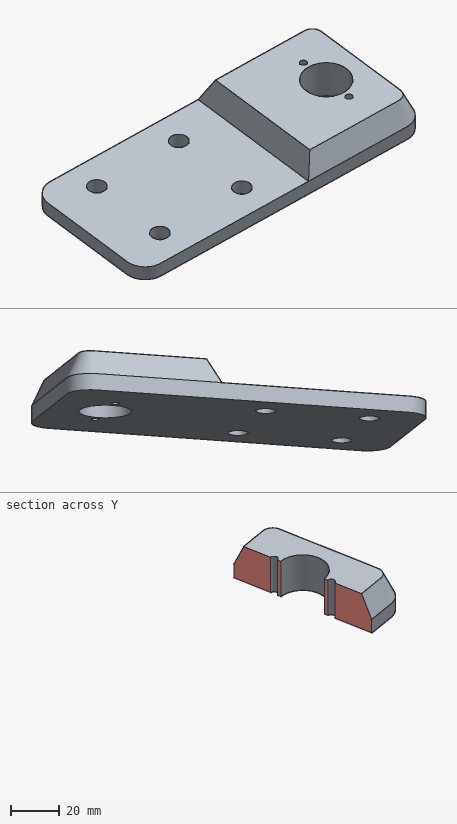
import cadquery as cq
import math

length = 155.0
width = 70.0
height = 18.0
plate_thickness = 7.0
corner_radius = 10.0

block_length = 64.0
block_height = height - plate_thickness
wall_inset = 5.1
wall_angle = math.degrees(math.atan2(wall_inset, block_height))

bore_diameter = 22.0
bore_from_end = 24.0
side_hole_diameter = 3.3
side_hole_spacing = 29.0

mount_diameter = 8.5
mount_spacing_x = 40.0
mount_spacing_y = 45.0
mount_from_end = 22.5

bore_y = length / 2 - bore_from_end
mount_center_y = -length / 2 + mount_from_end + mount_spacing_y / 2


def make_plate():
    plate = cq.Workplane("XY").rect(width, length).extrude(plate_thickness)
    return plate.edges("|Z").fillet(corner_radius)


def make_block():
    """Block whose walls all lean inward; only its +Y corners are rounded."""
    half_width = width / 2
    end_y = length / 2
    start_y = end_y - block_length
    arc_offset = corner_radius * (1 - math.sqrt(0.5))
    outline = (
        cq.Workplane("XY")
        .workplane(offset=plate_thickness)
        .moveTo(-half_width, start_y)
        .lineTo(half_width, start_y)
        .lineTo(half_width, end_y - corner_radius)
        .threePointArc(
            (half_width - arc_offset, end_y - arc_offset),
            (half_width - corner_radius, end_y),
        )
        .lineTo(-half_width + corner_radius, end_y)
        .threePointArc(
            (-half_width + arc_offset, end_y - arc_offset),
            (-half_width, end_y - corner_radius),
        )
        .close()
    )
    return outline.extrude(block_height, taper=wall_angle)


def make_pins(points, diameter):
    """Full-height cylinders used to cut through holes."""
    return cq.Workplane("XY").pushPoints(points).circle(diameter / 2).extrude(height)


side_hole_points = [(side * side_hole_spacing / 2, bore_y) for side in (-1, 1)]
mount_points = [
    (side_x * mount_spacing_x / 2, mount_center_y + side_y * mount_spacing_y / 2)
    for side_x in (-1, 1)
    for side_y in (-1, 1)
]

result = make_plate().union(make_block())
result = result.cut(make_pins([(0, bore_y)], bore_diameter))
result = result.cut(make_pins(side_hole_points, side_hole_diameter))
result = result.cut(make_pins(mount_points, mount_diameter))